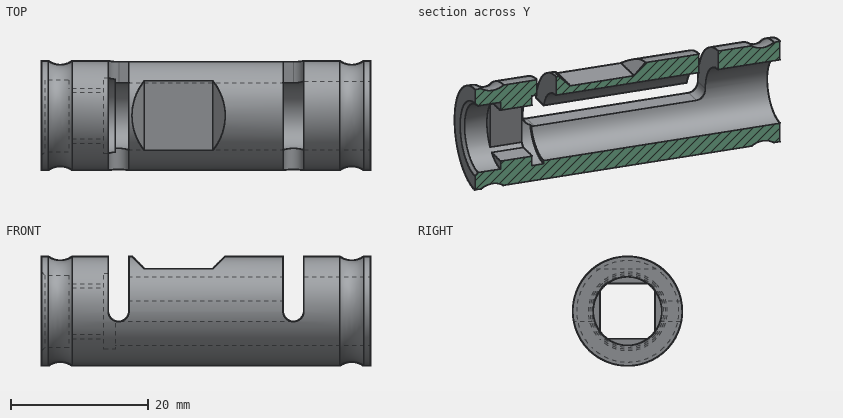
import cadquery as cq
import math

length = 48.0
outer_diameter = 16.0
outer_radius = outer_diameter / 2
end_x = length / 2

rim_width = 1.0
groove_width = 3.5
groove_arc_radius = 3.0

socket_diameter = 10.5
socket_depth = 4.0
mouth_chamfer = 0.5
square_size = 8.0
web_thickness = 5.0
relief_diameter = 11.0
relief_length = 1.8
bore_diameter = 10.0

slot_width = 3.0
slot_spacing = 25.5
slot_end_radius = slot_width / 2

flat_centre_x = -4.0
flat_length = 10.0
flat_depth = 1.8
flat_slope_angle = 45.0


def x_cylinder(diameter, start_x, cylinder_length):
    """Solid cylinder on the part axis, running towards +X from start_x."""
    return cq.Workplane("YZ", origin=(start_x, 0, 0)).circle(diameter / 2).extrude(cylinder_length)


def grooved_body():
    """Revolved outer shape with a concave groove behind each end rim."""
    outer_edge = end_x - rim_width
    inner_edge = outer_edge - groove_width
    groove_centre = (outer_edge + inner_edge) / 2
    groove_depth = groove_arc_radius - math.sqrt(groove_arc_radius**2 - (groove_width / 2) ** 2)
    groove_floor = outer_radius - groove_depth
    profile = (
        cq.Workplane("XY")
        .moveTo(-end_x, 0)
        .lineTo(-end_x, outer_radius)
        .lineTo(-outer_edge, outer_radius)
        .threePointArc((-groove_centre, groove_floor), (-inner_edge, outer_radius))
        .lineTo(inner_edge, outer_radius)
        .threePointArc((groove_centre, groove_floor), (outer_edge, outer_radius))
        .lineTo(end_x, outer_radius)
        .lineTo(end_x, 0)
        .close()
    )
    return profile.revolve(360, (0, 0, 0), (1, 0, 0))


def socket_mouth():
    """Cone that chamfers the mouth of the socket."""
    socket_radius = socket_diameter / 2
    return (
        cq.Workplane("XY")
        .moveTo(-end_x, 0)
        .lineTo(-end_x, socket_radius + mouth_chamfer)
        .lineTo(-end_x + mouth_chamfer, socket_radius)
        .lineTo(-end_x + mouth_chamfer, 0)
        .close()
        .revolve(360, (0, 0, 0), (1, 0, 0))
    )


def bore():
    """Complete through opening: socket, square drive, relief and plain bore."""
    web_start_x = -end_x + socket_depth
    relief_start_x = web_start_x + web_thickness
    bore_start_x = relief_start_x + relief_length
    socket = x_cylinder(socket_diameter, -end_x, socket_depth)
    square = (
        cq.Workplane("YZ", origin=(web_start_x, 0, 0))
        .rect(square_size, square_size)
        .extrude(web_thickness)
        .intersect(x_cylinder(socket_diameter, web_start_x, web_thickness))
    )
    relief = x_cylinder(relief_diameter, relief_start_x, relief_length)
    plain_bore = x_cylinder(bore_diameter, bore_start_x, end_x - bore_start_x)
    return socket.union(socket_mouth()).union(square).union(relief).union(plain_bore)


def transverse_slot(centre_x):
    """Slot through the full Y width, open at the top, with a round floor on the axis plane."""
    return (
        cq.Workplane("XZ", origin=(centre_x, 0, 0))
        .moveTo(-slot_end_radius, outer_diameter)
        .lineTo(-slot_end_radius, 0)
        .threePointArc((0, -slot_end_radius), (slot_end_radius, 0))
        .lineTo(slot_end_radius, outer_diameter)
        .close()
        .extrude(outer_radius, both=True)
    )


def joining_track():
    """Lengthwise opening through the +Y wall from one transverse slot to the other."""
    return cq.Workplane("XY").box(
        slot_spacing, outer_radius, slot_width, centered=(True, False, True)
    )


def top_flat():
    """Trapezoidal cut that leaves a flat with sloped ends on the top."""
    flat_z = outer_radius - flat_depth
    slope_run = flat_depth / math.tan(math.radians(flat_slope_angle))
    half_floor = flat_length / 2
    half_opening = half_floor + slope_run
    return (
        cq.Workplane("XZ", origin=(flat_centre_x, 0, 0))
        .moveTo(-half_floor, flat_z)
        .lineTo(half_floor, flat_z)
        .lineTo(half_opening, outer_radius)
        .lineTo(-half_opening, outer_radius)
        .close()
        .extrude(outer_radius, both=True)
    )


result = grooved_body().cut(bore())
for slot_x in (-slot_spacing / 2, slot_spacing / 2):
    result = result.cut(transverse_slot(slot_x))
result = result.cut(joining_track()).cut(top_flat())